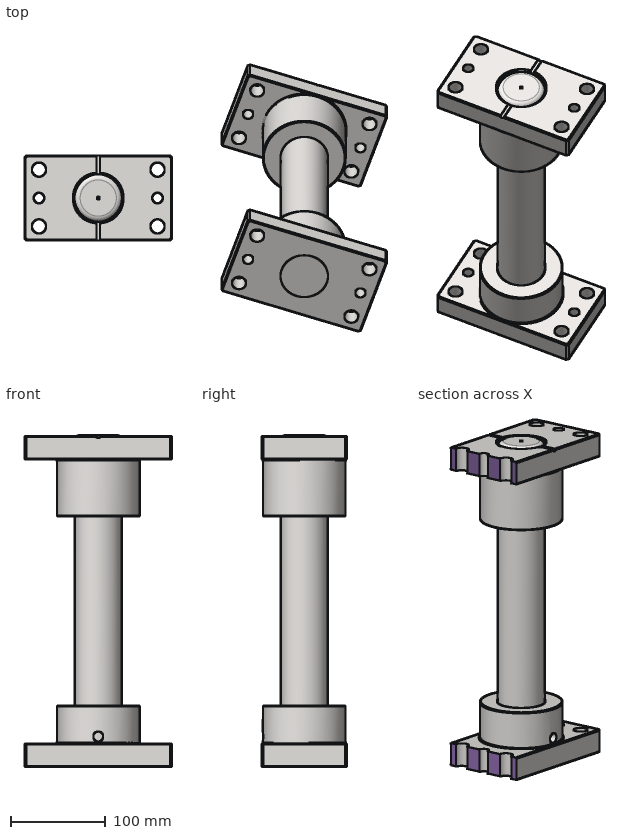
import cadquery as cq
import math

plate_length = 155.0
plate_width = 90.0
plate_thickness = 25.0
plate_corner_chamfer = 2.0
plate_rim_chamfer = 1.0

screw_hole_diameter = 14.7
dowel_hole_diameter = 11.0
hole_spacing_x = 125.0
screw_hole_spacing_y = 60.0

boss_diameter = 87.5
upper_boss_length = 60.0
lower_boss_length = 40.0
boss_rim_chamfer = 1.0
boss_root_fillet = 1.0

pillar_diameter = 50.0
pillar_length = 350.0
pillar_top_radius = 6.0
centre_mark_diameter = 2.8
centre_mark_depth = 3.5

pillar_protrusion = 1.0
upper_plate_top = pillar_length - pillar_protrusion

upper_bore_chamfer = 1.8
lower_bore_chamfer = 0.7
vent_groove_diameter = 4.2
set_screw_hole_diameter = 10.5
set_screw_hole_height = 7.5


def flange_plate():
    """Chamfered plate standing on Z = 0."""
    plate = cq.Workplane("XY").box(plate_length, plate_width, plate_thickness, centered=(True, True, False))
    plate = plate.edges("|Z").chamfer(plate_corner_chamfer)
    return plate.faces("<Z or >Z").edges().chamfer(plate_rim_chamfer)


def flange_boss(boss_length):
    """Boss on top of the plate, with a chamfered rim and a filleted root."""
    boss_radius = boss_diameter / 2
    boss_top = plate_thickness + boss_length
    fillet_centre = (boss_radius + boss_root_fillet, plate_thickness + boss_root_fillet)
    fillet_middle_offset = boss_root_fillet * math.sqrt(0.5)
    boss = (
        cq.Workplane("XZ")
        .moveTo(0, plate_thickness)
        .lineTo(fillet_centre[0], plate_thickness)
        .threePointArc(
            (fillet_centre[0] - fillet_middle_offset, fillet_centre[1] - fillet_middle_offset),
            (boss_radius, fillet_centre[1]),
        )
        .lineTo(boss_radius, boss_top - boss_rim_chamfer)
        .lineTo(boss_radius - boss_rim_chamfer, boss_top)
        .lineTo(0, boss_top)
        .close()
        .revolve(360, (0, 0), (0, 1))
    )
    plate_flat_width = plate_width - 2 * plate_rim_chamfer
    return boss.intersect(cq.Workplane("XY").box(plate_length, plate_flat_width, 2 * boss_top))


def bored_flange(boss_length):
    """Plate on Z = 0 with a boss on top, the pillar bore and the mounting holes."""
    flange = flange_plate().union(flange_boss(boss_length))
    flange = drill_from_below(flange, [(0, 0)], pillar_diameter)

    hole_x = hole_spacing_x / 2
    screw_hole_y = screw_hole_spacing_y / 2
    screw_holes = [(x, y) for x in (-hole_x, hole_x) for y in (-screw_hole_y, screw_hole_y)]
    dowel_holes = [(-hole_x, 0), (hole_x, 0)]
    flange = drill_from_below(flange, screw_holes, screw_hole_diameter)
    return drill_from_below(flange, dowel_holes, dowel_hole_diameter)


def drill_from_below(flange, centres, diameter):
    """Drill through holes, parallel to Z, at the given X-Y centres."""
    return flange.faces("<Z").workplane(origin=(0, 0, 0)).pushPoints(centres).hole(diameter)


def make_lower_flange():
    bore_mouth = bored_flange(lower_boss_length).faces(">Z").edges(cq.selectors.RadiusNthSelector(0))
    flange = bore_mouth.chamfer(lower_bore_chamfer)
    set_screw_hole = (
        cq.Workplane("XZ")
        .center(0, plate_thickness + set_screw_hole_height)
        .circle(set_screw_hole_diameter / 2)
        .extrude(boss_diameter)
    )
    return flange.cut(set_screw_hole)


def make_upper_flange():
    bore_mouth = bored_flange(upper_boss_length).faces("<Z").edges(cq.selectors.RadiusNthSelector(-1))
    flange = bore_mouth.chamfer(upper_bore_chamfer)
    groove_section = cq.Plane(origin=(0, 0, 0), xDir=(0, 0, -1), normal=(0, 1, 0))
    groove = cq.Workplane(groove_section).circle(vent_groove_diameter / 2).extrude(plate_width / 2, both=True)
    flange = flange.cut(groove)
    return flange.rotate((0, 0, 0), (1, 0, 0), 180).translate((0, 0, upper_plate_top))


def make_pillar():
    pillar = cq.Workplane("XY").circle(pillar_diameter / 2).extrude(pillar_length)
    pillar = pillar.faces(">Z").edges().fillet(pillar_top_radius)
    return pillar.faces(">Z").workplane().hole(centre_mark_diameter, centre_mark_depth)


lower_flange = make_lower_flange()
upper_flange = make_upper_flange()
pillar = make_pillar()

result = cq.Compound.makeCompound(
    [*lower_flange.solids().vals(), *upper_flange.solids().vals(), *pillar.solids().vals()]
)